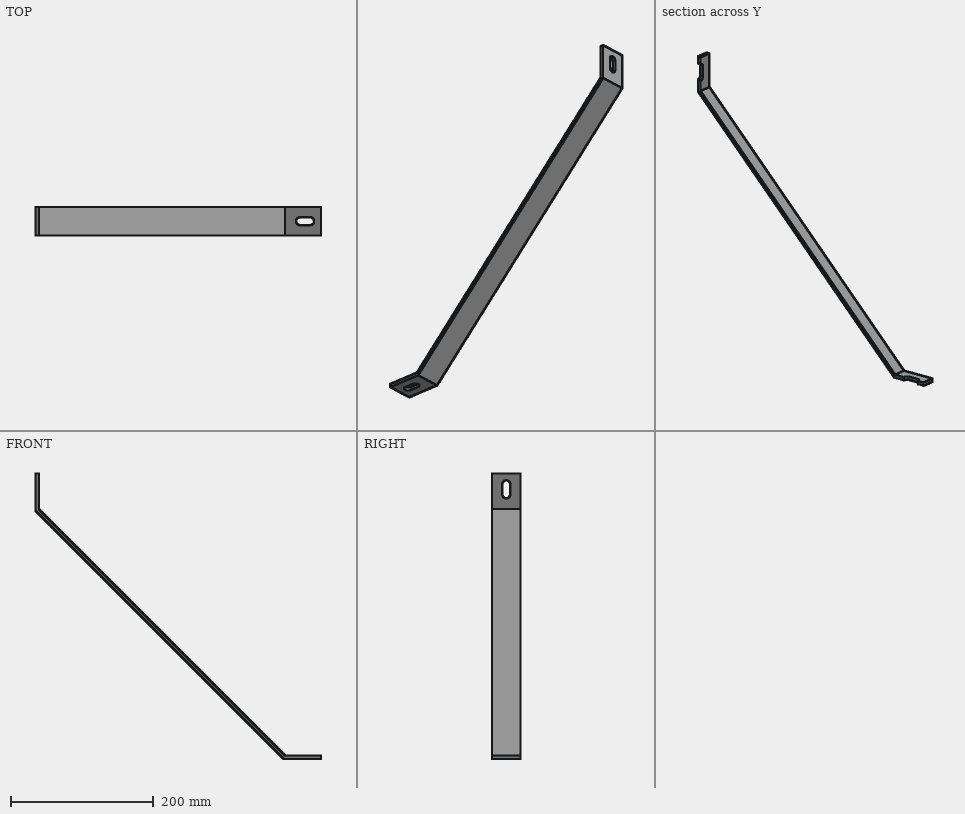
import cadquery as cq
import math

span = 400.0
strip_width = 40.0
thickness = 5.0
leg_length = 52.5
slot_length = 25.0
slot_width = 11.0
slot_from_end = 22.5

bend_angle = math.radians(45)
miter_offset = thickness * math.tan(bend_angle / 2)
inner_leg = leg_length - miter_offset


def bent_strip():
    """Strip with a vertical tab, a diagonal and a horizontal tab."""
    profile = [
        (0, span),
        (0, span - leg_length),
        (span - leg_length, 0),
        (span, 0),
        (span, thickness),
        (span - inner_leg, thickness),
        (thickness, span - inner_leg),
        (thickness, span),
    ]
    return cq.Workplane("XZ").polyline(profile).close().extrude(strip_width / 2, both=True)


def slot_cutter(plane, along, up, angle):
    """Slot through one tab, centred on the strip width."""
    return (
        cq.Workplane(plane)
        .center(along, up)
        .slot2D(slot_length, slot_width, angle)
        .extrude(thickness)
    )


slot_position = span - slot_from_end
horizontal_tab_slot = slot_cutter("XY", slot_position, 0, 0)
vertical_tab_slot = slot_cutter("YZ", 0, slot_position, 90)

result = bent_strip().cut(horizontal_tab_slot).cut(vertical_tab_slot)